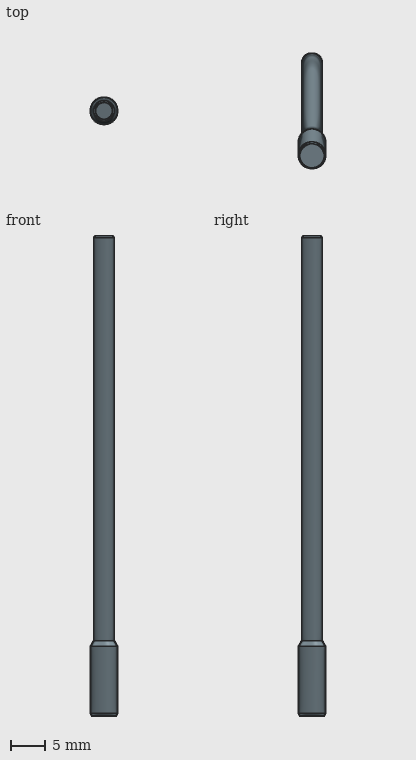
import cadquery as cq

total_length = 70.0
shank_diameter = 4.0
shank_length = 11.0
pin_diameter = 3.0
shoulder_height = 0.85
foot_chamfer_height = 0.4
foot_chamfer_inset = 0.2
tip_chamfer = 0.3

pin_length = total_length - shank_length
shoulder_inset = (shank_diameter - pin_diameter) / 2


def make_shank():
    """Thick lower body: chamfered foot, and a conical shoulder narrowing to the pin diameter."""
    shank = cq.Workplane("XY").circle(shank_diameter / 2).extrude(shank_length)
    shank = shank.faces("<Z").chamfer(foot_chamfer_height, foot_chamfer_inset)
    shank_radius = shank_diameter / 2
    shoulder_cut = (
        cq.Workplane("XZ")
        .moveTo(shank_radius, shank_length - shoulder_height)
        .lineTo(shank_radius, shank_length)
        .lineTo(shank_radius - shoulder_inset, shank_length)
        .close()
        .revolve(360, (0, 0, 0), (0, 1, 0))
    )
    return shank.cut(shoulder_cut)


def make_pin():
    """Long slender pin standing on the shank, with a chamfered tip."""
    pin = (
        cq.Workplane("XY")
        .workplane(offset=shank_length)
        .circle(pin_diameter / 2)
        .extrude(pin_length)
    )
    return pin.faces(">Z").chamfer(tip_chamfer)


shank = make_shank()
pin = make_pin()

result = cq.Compound.makeCompound([shank.val(), pin.val()])